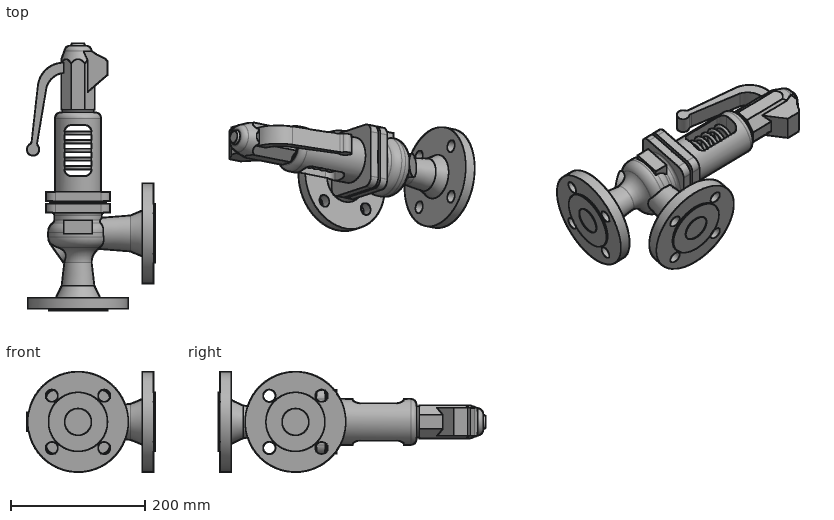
import cadquery as cq
import math


face_distance = 115.0
flange_radius = 75.0
flange_thickness = 17.0
raised_face_radius = 44.0
raised_face_height = 2.5
bore_radius = 20.0
bore_depth = 1.0
bolt_circle_radius = 55.0
bolt_hole_radius = 9.0
bolt_count = 4
flange_front = face_distance - raised_face_height
flange_back = flange_front - flange_thickness

hub_start = 78.0
inlet_neck_y = -43.0
inlet_neck_radius = 20.5
inlet_hub_radius = 24.6
inlet_flare_radius = 33.0
outlet_root_radius = 20.8
outlet_hub_radius = 27.0
outlet_flare_radius = 34.2

collar_radius = 35.5
collar_bottom_y = 20.2
collar_fillet = 4.2
belly_radius = 44.7
belly_top_y = 2.0
belly_bottom_y = -5.0
belly_round = 17.0

boss_radius = 17.5
boss_tilt = 35.0
boss_face_x = -32.0
boss_face_y = -29.0
boss_length = 35.0

pad_width = 43.0
pad_bottom_y = -0.8
pad_top_y = 20.0
pad_height = 47.5

square_side = 95.5
square_corner_radius = 13.5
body_square_y = 31.2
body_square_top = 44.3
gasket_step_y = 46.3
bonnet_square_y = 48.3
bonnet_square_top = 61.9
gasket_lower_radius = 42.0
gasket_upper_radius = 38.0

bonnet_radius = 34.5
bonnet_top = 180.4
bonnet_fillet = 9.0
window_width = 40.0
window_bottom = 85.6
window_top = 161.2
window_corner_radius = 10.0
spring_radius = 21.0
spring_wire_radius = 2.7
spring_coils = 5
spring_pitch = 12.87
spring_first_y = 97.9

neck_radius = 23.5
cap_bottom = 184.5
cap_flats = 50.0
cap_sides = 8
cap_corner_radius = cap_flats / 2 / math.cos(math.pi / cap_sides)
cap_cone_start_y = 253.0
cap_cone_mid_y = 259.6
cap_shoulder_y = 271.8
cap_shoulder_radius = 20.5
cap_dome_radius = 13.0
cap_dome_y = 279.8
cap_dome_bulge = (18.0, 277.0)
cap_tip_y = 283.5
cap_tip_base_radius = 11.0
cap_tip_radius = 9.0

ear_half_width = 21.0
ear_tip_x = 44.0
ear_tip_top_y = 256.5
ear_tip_bottom_y = 236.0
ear_root_x = 13.8
ear_root_top_y = 259.0
ear_root_bottom_y = 210.2
ear_crown_x = 8.3
ear_crown_y = 271.0
ear_back = ((21.0, 271.5), (28.0, 266.5), (40.5, 260.5))

lever_width = 28.0
lever_root_x = -21.0
lever_root_top_y = 254.6
lever_root_bottom_y = 239.2
lever_outer_bend = (-49.0, 243.0)
lever_outer_bend_end = (-60.0, 219.6)
lever_inner_bend = (-38.0, 231.5)
lever_inner_bend_end = (-46.8, 217.5)
lever_arm_end_y = 130.0
lever_arm_end_outer_x = -70.0
lever_arm_end_inner_x = -61.5
lever_knob_radius = 9.3
lever_knob_x = -66.97
lever_knob_y = 125.0
lever_knob_fillet = 6.0


def disc(radius, bottom, top):
    """Cylinder along Y between two heights."""
    return cq.Workplane("XZ", origin=(0, bottom, 0)).circle(radius).extrude(bottom - top)


def revolved(profile):
    """Closed (radius, y) wire turned about the Y axis."""
    return profile.close().revolve(360, (0, 0, 0), (0, 1, 0))


def branch(root_radius, root_distance, hub_radius, flare_radius):
    """Pipe branch and drilled flange pointing along -Y."""
    pipe = revolved(
        cq.Workplane("XY")
        .moveTo(0, -root_distance)
        .lineTo(root_radius, -root_distance)
        .lineTo(hub_radius, -hub_start)
        .lineTo(flare_radius, -flange_back)
        .lineTo(0, -flange_back)
    )
    flange = disc(flange_radius, -flange_front, -flange_back)
    holes = (
        cq.Workplane("XZ", origin=(0, -flange_back, 0))
        .polarArray(bolt_circle_radius, 180 / bolt_count, 360, bolt_count)
        .circle(bolt_hole_radius)
        .extrude(flange_thickness)
    )
    raised_face = disc(raised_face_radius, -face_distance, -flange_front)
    bore = disc(bore_radius, -face_distance, bore_depth - face_distance)
    return pipe.union(flange.cut(holes)).union(raised_face.cut(bore))


def arc_middle(center, radius, start, end):
    """Middle point of the minor arc between two points of a circle."""
    lean_x = start[0] + end[0] - 2 * center[0]
    lean_y = start[1] + end[1] - 2 * center[1]
    length = math.hypot(lean_x, lean_y)
    return (center[0] + radius * lean_x / length, center[1] + radius * lean_y / length)


def belly_blend(tube_radius, tube_end_y, belly_center):
    """Concave arc that leaves a tube and touches the rounded belly.

    Returns the arc's middle point and the point where it touches the belly.
    """
    offset_x = tube_radius - belly_center[0]
    offset_y = tube_end_y - belly_center[1]
    blend_radius = (offset_x**2 + offset_y**2 - belly_round**2) / (2 * (belly_round - offset_x))
    blend_center = (tube_radius + blend_radius, tube_end_y)
    share = belly_round / (belly_round + blend_radius)
    touch = (
        belly_center[0] + share * (offset_x + blend_radius),
        belly_center[1] + share * offset_y,
    )
    middle = arc_middle(blend_center, blend_radius, (tube_radius, tube_end_y), touch)
    return middle, touch


def make_body():
    lower_center = (belly_radius - belly_round, belly_bottom_y)
    upper_center = (belly_radius - belly_round, belly_top_y)
    lower_blend, lower_touch = belly_blend(inlet_neck_radius, inlet_neck_y, lower_center)
    upper_blend, upper_touch = belly_blend(collar_radius, collar_bottom_y, upper_center)
    lower_side = (belly_radius, belly_bottom_y)
    upper_side = (belly_radius, belly_top_y)
    collar_top = (collar_radius, body_square_y - collar_fillet)
    collar_rim = (collar_radius + collar_fillet, body_square_y)
    collar_center = (collar_rim[0], collar_top[1])
    return revolved(
        cq.Workplane("XY")
        .moveTo(0, inlet_neck_y)
        .lineTo(inlet_neck_radius, inlet_neck_y)
        .threePointArc(lower_blend, lower_touch)
        .threePointArc(arc_middle(lower_center, belly_round, lower_touch, lower_side), lower_side)
        .lineTo(*upper_side)
        .threePointArc(arc_middle(upper_center, belly_round, upper_side, upper_touch), upper_touch)
        .threePointArc(upper_blend, (collar_radius, collar_bottom_y))
        .lineTo(*collar_top)
        .threePointArc(arc_middle(collar_center, collar_fillet, collar_top, collar_rim), collar_rim)
        .lineTo(0, body_square_y)
    )


def make_drain_boss():
    tilt = math.radians(boss_tilt)
    face = cq.Plane(
        origin=(boss_face_x, boss_face_y, 0),
        xDir=(0, 0, 1),
        normal=(math.cos(tilt), math.sin(tilt), 0),
    )
    return cq.Workplane(face).circle(boss_radius).extrude(boss_length)


def make_pad():
    pad_length = pad_top_y - pad_bottom_y
    pad = cq.Workplane("XY", origin=(0, pad_bottom_y, 0))
    return pad.box(pad_width, pad_length, pad_height, centered=(True, False, False))


def square_flange(bottom, top):
    return (
        cq.Workplane("XZ", origin=(0, bottom, 0))
        .rect(square_side, square_side)
        .extrude(bottom - top)
        .edges("|Y")
        .fillet(square_corner_radius)
    )


def make_bonnet():
    bonnet = disc(bonnet_radius, bonnet_square_top, bonnet_top).faces(">Y").edges().fillet(bonnet_fillet)
    window = (
        cq.Workplane("XY")
        .center(0, (window_bottom + window_top) / 2)
        .rect(window_width, window_top - window_bottom)
        .extrude(bonnet_radius, both=True)
        .edges("|Z")
        .fillet(window_corner_radius)
    )
    bonnet = bonnet.cut(window)
    for coil in range(spring_coils):
        ring = cq.Solid.makeTorus(
            spring_radius,
            spring_wire_radius,
            cq.Vector(0, spring_first_y + coil * spring_pitch, 0),
            cq.Vector(0, 1, 0),
        )
        bonnet = bonnet.union(cq.Workplane(ring))
    return bonnet


def make_cap():
    octagon = (
        cq.Workplane("XZ", origin=(0, cap_bottom, 0))
        .polygon(cap_sides, 2 * cap_corner_radius)
        .extrude(cap_bottom - cap_tip_y)
        .rotate((0, 0, 0), (0, 1, 0), 180 / cap_sides)
    )
    turned = revolved(
        cq.Workplane("XY")
        .moveTo(0, cap_bottom)
        .lineTo(cap_corner_radius, cap_bottom)
        .lineTo(cap_corner_radius, cap_cone_start_y)
        .threePointArc((cap_flats / 2, cap_cone_mid_y), (cap_shoulder_radius, cap_shoulder_y))
        .threePointArc(cap_dome_bulge, (cap_dome_radius, cap_dome_y))
        .lineTo(cap_tip_base_radius, cap_dome_y)
        .lineTo(cap_tip_radius, cap_tip_y)
        .lineTo(0, cap_tip_y)
    )
    return octagon.intersect(turned)


def make_ear():
    return (
        cq.Workplane("XY")
        .polyline([(ear_crown_x, ear_crown_y), *ear_back])
        .lineTo(ear_tip_x, ear_tip_top_y)
        .lineTo(ear_tip_x, ear_tip_bottom_y)
        .lineTo(ear_root_x, ear_root_bottom_y)
        .lineTo(ear_root_x, ear_root_top_y)
        .close()
        .extrude(ear_half_width, both=True)
    )


def make_lever():
    arm = (
        cq.Workplane("XY")
        .moveTo(lever_root_x, lever_root_top_y)
        .threePointArc(lever_outer_bend, lever_outer_bend_end)
        .lineTo(lever_arm_end_outer_x, lever_arm_end_y)
        .lineTo(lever_arm_end_inner_x, lever_arm_end_y)
        .lineTo(*lever_inner_bend_end)
        .threePointArc(lever_inner_bend, (lever_root_x, lever_root_bottom_y))
        .close()
        .extrude(lever_width / 2, both=True)
    )
    knob = (
        cq.Workplane("XY")
        .center(lever_knob_x, lever_knob_y)
        .circle(lever_knob_radius)
        .extrude(lever_width / 2, both=True)
    )
    junction = cq.selectors.BoxSelector(
        (lever_knob_x - lever_knob_radius, lever_knob_y + lever_knob_radius / 2, -lever_width),
        (lever_knob_x + lever_knob_radius, lever_knob_y + 2 * lever_knob_radius, lever_width),
    )
    return arm.union(knob).edges("|Z").edges(junction).fillet(lever_knob_fillet)


inlet = branch(inlet_neck_radius, -inlet_neck_y, inlet_hub_radius, inlet_flare_radius)
outlet = branch(outlet_root_radius, 0, outlet_hub_radius, outlet_flare_radius)
outlet = outlet.rotate((0, 0, 0), (0, 0, 1), 90)

result = (
    make_body()
    .union(inlet)
    .union(outlet)
    .union(make_drain_boss())
    .union(make_pad())
    .union(square_flange(body_square_y, body_square_top))
    .union(disc(gasket_lower_radius, body_square_top, gasket_step_y))
    .union(disc(gasket_upper_radius, gasket_step_y, bonnet_square_y))
    .union(square_flange(bonnet_square_y, bonnet_square_top))
    .union(make_bonnet())
    .union(disc(neck_radius, bonnet_top, cap_bottom))
    .union(make_cap())
    .union(make_ear())
    .union(make_lever())
)